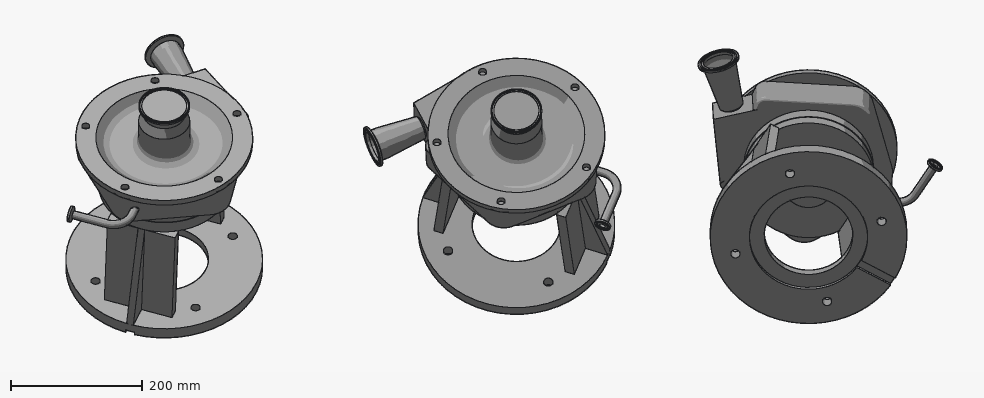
import cadquery as cq
import math

base_thickness = 20.0
bell_bottom = 180.0
bell_step = 200.0
casing_bottom = 222.0
cover_bottom = 274.0
cover_top = 284.0
overall_height = 353.0

base_radius = 150.0
base_bore_radius = 67.5
base_hole_circle_radius = 115.0
base_hole_radius = 7.0
base_hole_count = 4
base_first_hole_angle = 45.0
base_notch_width = 14.0
base_notch_height = 5.0
base_recess_radius = 90.0
base_recess_depth = 6.0

leg_width = 110.0
leg_thickness = 15.0
leg_top_y = 100.0
leg_bottom_y = 114.0
rib_width = 11.0

bell_radius = 100.0
bell_neck_radius = 99.0
shaft_radius = 37.5
shaft_bottom = 162.0

casing_sides = 5
casing_pitch = 360 / casing_sides
casing_apothem = 116.1
casing_draft = 1.5
first_corner_angle = 45.0
tongue_corner_radius = 15.0
outlet_corner_radius = 17.0
plain_corner_radius = 35.0
casing_bottom_fillet = 5.0
outlet_angle = 135.0
outlet_face_distance = 116.0
tongue_side_angle = 54.0
tongue_trim = 10.0
tongue_buried_width = 45.0

cover_radius = 135.0
cover_hole_circle_radius = 122.0
cover_hole_radius = 6.0
dish_floor_radius = 83.0
dish_depth = 15.0
dish_fillet = 15.0

neck_radius = 39.0
neck_fillet = 15.0
neck_shoulder = 319.5
neck_tube_bottom = 335.5
inlet_tube_radius = 32.0
inlet_rim_radius = 38.75
inlet_groove_inner = 34.3
inlet_groove_outer = 37.0

rim_thickness = 2.9
rim_slope_angle = 20.0
groove_depth = 1.2

outlet_axis_offset = 91.2
outlet_axis_z = 248.75
outlet_end = 200.0
outlet_rim_radius = 32.0
outlet_groove_inner = 26.5
outlet_groove_outer = 29.0
outlet_tube_radius = 24.75
outlet_root_radius = 18.5
outlet_root_length = 3.0
outlet_embedded_length = 5.0
outlet_cone_start = 183.0
outlet_bore_radius = 23.25
outlet_bore_cone_start = 186.5
outlet_bore_waist_radius = 20.65
outlet_bore_waist = 175.5
outlet_bore_root_radius = 14.0

drain_z = 250.0
drain_y = -172.0
drain_end_x = -89.5
drain_bend_radius = 29.0
drain_tube_radius = 6.25
drain_bore_radius = 4.5
drain_rim_radius = 12.5
drain_rim_thickness = 3.5
drain_groove_inner = 8.5
drain_groove_outer = 10.5


def polar(radius, angle):
    """Point at a given radius and angle (degrees) around the pump axis."""
    return (radius * math.cos(math.radians(angle)), radius * math.sin(math.radians(angle)))


def disc(radius, bottom, top):
    """Solid cylinder on the pump axis between two heights."""
    return cq.Workplane("XY").workplane(offset=bottom).circle(radius).extrude(top - bottom)


def revolve_profile(points):
    """Revolve a (radius, height) outline around the Z axis."""
    return cq.Workplane("XZ").polyline(points).close().revolve(360, (0, 0), (0, 1))


def ferrule(rim_radius, tube_radius, thickness, groove_inner, groove_outer):
    """Clamp ferrule with its sealing face at Z = 0 and its tube side below."""
    slope = math.tan(math.radians(rim_slope_angle))
    neck_depth = thickness + slope * (rim_radius - tube_radius)
    body = revolve_profile([
        (0, 0), (rim_radius, 0), (rim_radius, -thickness),
        (tube_radius, -neck_depth), (0, -neck_depth),
    ])
    groove = (
        cq.Workplane("XY").circle(groove_outer).circle(groove_inner).extrude(-groove_depth)
    )
    return body.cut(groove)


def make_base():
    """Round base plate with a bore, a recessed underside and one vent notch."""
    base = disc(base_radius, 0, base_thickness).cut(disc(base_bore_radius, 0, base_thickness))
    holes = (
        cq.Workplane("XY")
        .polarArray(base_hole_circle_radius, base_first_hole_angle, 360, base_hole_count)
        .circle(base_hole_radius)
        .extrude(base_thickness)
    )
    notch = cq.Workplane("XY").box(
        base_notch_width, base_radius, base_notch_height, centered=(True, False, False)
    ).translate((0, -base_radius, 0))
    recess = disc(base_recess_radius, 0, base_recess_depth)
    return base.cut(holes).cut(notch).cut(recess)


def make_leg(side):
    """Leaning plate with a triangular outer rib; side is +1 (+Y) or -1 (-Y)."""
    def prism(foot_y, width):
        points = [
            (leg_bottom_y - leg_thickness, base_thickness),
            (foot_y, base_thickness),
            (leg_top_y, bell_bottom),
            (leg_top_y - leg_thickness, bell_bottom),
        ]
        outline = [(side * y, z) for y, z in points]
        return cq.Workplane("YZ").polyline(outline).close().extrude(width / 2, both=True)

    plate = prism(leg_bottom_y, leg_width)
    rib = prism(base_radius, rib_width)
    return plate.union(rib.intersect(disc(base_radius, 0, bell_bottom)))


def make_bell():
    """Stepped bell housing with the shaft end below it."""
    shaft = disc(shaft_radius, shaft_bottom, bell_bottom)
    flange = disc(bell_radius, bell_bottom, bell_step)
    return shaft.union(flange).union(disc(bell_neck_radius, bell_step, casing_bottom))


def casing_corner_point(index, normal_angle):
    """Point on a rounded casing corner where its outward normal has the given angle."""
    corner_radii = [tongue_corner_radius, outlet_corner_radius]
    corner_radii += [plain_corner_radius] * (casing_sides - len(corner_radii))
    radius = corner_radii[index]
    center_distance = (casing_apothem - radius) / math.cos(math.radians(casing_pitch / 2))
    center = polar(center_distance, first_corner_angle + casing_pitch * index)
    offset = polar(radius, normal_angle)
    return (center[0] + offset[0], center[1] + offset[1])


def drafted_body(outline):
    """Extrude an outline down from the cover with draft and round its bottom edges."""
    body = outline.close().extrude(casing_bottom - cover_bottom, taper=casing_draft)
    return body.faces("<Z").edges().fillet(casing_bottom_fillet)


def make_pentagon():
    """Five-sided body with rounded corners."""
    half_pitch = casing_pitch / 2
    outline = (
        cq.Workplane("XY", origin=(0, 0, cover_bottom))
        .moveTo(*casing_corner_point(casing_sides - 1, first_corner_angle - half_pitch))
    )
    for index in range(casing_sides):
        middle = first_corner_angle + casing_pitch * index
        outline = (
            outline.lineTo(*casing_corner_point(index, middle - half_pitch))
            .threePointArc(casing_corner_point(index, middle),
                           casing_corner_point(index, middle + half_pitch))
        )
    return drafted_body(outline)


def make_tongue():
    """Pointed tongue tangent to one corner; its upright end face carries the outlet."""
    blank_end = outlet_face_distance + tongue_trim
    tangent = casing_corner_point(0, tongue_side_angle)
    side_direction = polar(1, tongue_side_angle + 90)
    outward = polar(1, outlet_angle)
    sideways = polar(1, outlet_angle - 90)
    tangent_outward = tangent[0] * outward[0] + tangent[1] * outward[1]
    run = (blank_end - tangent_outward) / math.cos(math.radians(outlet_angle - tongue_side_angle - 90))
    apex = (tangent[0] + run * side_direction[0], tangent[1] + run * side_direction[1])
    buried_side = outlet_axis_offset - tongue_buried_width
    buried_end = tuple(blank_end * outward[i] + buried_side * sideways[i] for i in range(2))

    outline = (
        cq.Workplane("XY", origin=(0, 0, cover_bottom))
        .polyline([(0, 0), tangent, apex, buried_end])
    )
    trim = (
        cq.Workplane("XY")
        .box(2 * tongue_trim, 2 * overall_height, overall_height, centered=(False, True, False))
        .translate((outlet_face_distance, 0, 0))
        .rotate((0, 0, 0), (0, 0, 1), outlet_angle)
    )
    return drafted_body(outline).cut(trim)


def make_cover():
    """Cover plate, the dish cut into it around the inlet neck, and its bolt holes."""
    floor_z = cover_top - dish_depth
    half = math.sin(math.radians(45))
    cone_foot_radius = dish_floor_radius + dish_fillet * half
    cone_foot_z = floor_z + dish_fillet * (1 - half)
    fillet_center_z = floor_z + dish_fillet
    mid = math.radians(22.5)
    dish = (
        cq.Workplane("XZ")
        .moveTo(neck_radius, cover_top)
        .threePointArc(
            (neck_radius + neck_fillet * (1 - half), floor_z + neck_fillet * (1 - half)),
            (neck_radius + neck_fillet, floor_z),
        )
        .lineTo(dish_floor_radius, floor_z)
        .threePointArc(
            (dish_floor_radius + dish_fillet * math.sin(mid),
             fillet_center_z - dish_fillet * math.cos(mid)),
            (cone_foot_radius, cone_foot_z),
        )
        .lineTo(cone_foot_radius + cover_top - cone_foot_z, cover_top)
        .close()
        .revolve(360, (0, 0), (0, 1))
    )
    holes = (
        cq.Workplane("XY")
        .workplane(offset=cover_bottom)
        .polarArray(cover_hole_circle_radius, first_corner_angle, 360, casing_sides)
        .circle(cover_hole_radius)
        .extrude(cover_top - cover_bottom)
    )
    return disc(cover_radius, cover_bottom, cover_top), dish, holes


def make_neck():
    """Inlet neck that narrows to a tube and ends in a clamp ferrule."""
    neck = revolve_profile([
        (0, cover_top - dish_depth), (neck_radius, cover_top - dish_depth),
        (neck_radius, neck_shoulder), (inlet_tube_radius, neck_tube_bottom),
        (inlet_tube_radius, overall_height - rim_thickness), (0, overall_height - rim_thickness),
    ])
    top = ferrule(inlet_rim_radius, inlet_tube_radius, rim_thickness,
                  inlet_groove_inner, inlet_groove_outer)
    return neck.union(top.translate((0, 0, overall_height)))


def place_outlet(shape):
    """Move a shape built along +Z onto the outlet axis."""
    x, y = polar(outlet_axis_offset, outlet_angle - 90)
    return (
        shape.rotate((0, 0, 0), (0, 1, 0), 90)
        .rotate((0, 0, 0), (0, 0, 1), outlet_angle)
        .translate((x, y, outlet_axis_z))
    )


def make_outlet():
    """Widening outlet pipe with a clamp ferrule and a bore that ends at the casing face."""
    root_end = outlet_face_distance + outlet_root_length
    root_chamfer_radius = outlet_root_radius - outlet_root_length
    embedded = outlet_face_distance - outlet_embedded_length
    pipe = revolve_profile([
        (0, embedded), (root_chamfer_radius, embedded), (root_chamfer_radius, outlet_face_distance),
        (outlet_root_radius, root_end),
        (outlet_tube_radius, outlet_cone_start), (outlet_tube_radius, outlet_end - rim_thickness),
        (0, outlet_end - rim_thickness),
    ])
    rim = ferrule(outlet_rim_radius, outlet_tube_radius, rim_thickness,
                  outlet_groove_inner, outlet_groove_outer)
    pipe = pipe.union(rim.translate((0, 0, outlet_end)))
    bore = revolve_profile([
        (0, outlet_face_distance), (outlet_bore_root_radius, outlet_face_distance),
        (outlet_bore_waist_radius, outlet_bore_waist), (outlet_bore_radius, outlet_bore_cone_start),
        (outlet_bore_radius, outlet_end), (0, outlet_end),
    ])
    return place_outlet(pipe.cut(bore))


def make_drain():
    """Bent drain tube that leaves the casing toward -Y and turns toward -X."""
    bend_start_y = drain_y + drain_bend_radius
    path = (
        cq.Workplane("XY", origin=(0, 0, drain_z))
        .moveTo(0, -casing_apothem)
        .lineTo(0, bend_start_y)
        .radiusArc((-drain_bend_radius, drain_y), drain_bend_radius)
        .lineTo(drain_end_x, drain_y)
    )
    tube = (
        cq.Workplane("XZ", origin=(0, -casing_apothem, drain_z))
        .circle(drain_tube_radius)
        .circle(drain_bore_radius)
        .sweep(path)
    )
    rim = ferrule(drain_rim_radius, drain_tube_radius, drain_rim_thickness,
                  drain_groove_inner, drain_groove_outer)
    rim = rim.cut(disc(drain_bore_radius, -drain_rim_radius, 0))
    rim = rim.rotate((0, 0, 0), (0, 1, 0), -90).translate((drain_end_x, drain_y, drain_z))
    return tube.union(rim)


cover, dish, cover_holes = make_cover()
result = make_base().union(make_leg(1)).union(make_leg(-1)).union(make_bell())
result = result.union(make_pentagon()).union(make_tongue()).union(cover).cut(dish).cut(cover_holes)
result = result.union(make_neck()).union(make_outlet()).union(make_drain())